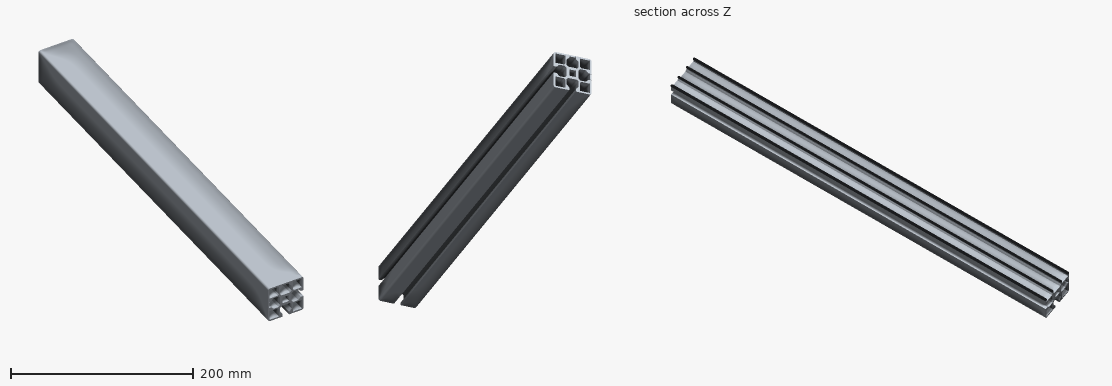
import cadquery as cq

length = 500.0
side = 45.0
edge_radius = 2.5

mouth_width = 8.0
lip_depth = 3.5
cavity_width = 14.5
cavity_corner = 2.0

strip_thickness = 2.0
web_thickness = 0.25
notch_width = 0.5

core_width = 14.5
bore_width = 8.0

outer_wall = 2.0
slot_wall = 1.5
chamber_chamfer = 1.5

half_side = side / 2
half_mouth = mouth_width / 2
half_cavity = cavity_width / 2
half_core = core_width / 2
half_strip = half_mouth - notch_width
chamber_inner = half_cavity + slot_wall
chamber_outer = half_side - outer_wall

shoulder_depth = lip_depth + half_cavity - half_mouth


def prism(points):
    """Extrude a closed outline, given as (y, z) points, along the whole bar."""
    return cq.Workplane("YZ").polyline(points).close().extrude(length / 2, both=True)


def square_prism(width):
    """Square bar of the full length, centred on the X axis."""
    return cq.Workplane("YZ").rect(width, width).extrude(length / 2, both=True)


def slot(is_open):
    """Slot on the +Z side, from its mouth or the underside of its strip down to the core."""
    if is_open:
        mouth = [(half_mouth, half_side)]
    else:
        mouth = [
            (half_strip, half_side - strip_thickness),
            (half_strip, half_side - web_thickness),
            (half_mouth, half_side - web_thickness),
        ]
    right_half = mouth + [
        (half_mouth, half_side - lip_depth),
        (half_cavity, half_side - shoulder_depth),
        (half_cavity, half_core + cavity_corner),
        (half_cavity - cavity_corner, half_core),
    ]
    left_half = [(-y, z) for y, z in reversed(right_half)]
    return prism(right_half + left_half)


def corner_chamber():
    """Chamber in the +Y +Z corner, chamfered at the corner nearest the core."""
    return prism([
        (chamber_inner + chamber_chamfer, chamber_inner),
        (chamber_outer, chamber_inner),
        (chamber_outer, chamber_outer),
        (chamber_inner, chamber_outer),
        (chamber_inner, chamber_inner + chamber_chamfer),
    ])


def turned(body, angle):
    """Turn a body about the bar's axis, from +Y towards +Z."""
    return body.rotate((0, 0, 0), (1, 0, 0), angle)


result = square_prism(side).edges("|X").fillet(edge_radius)
result = result.cut(square_prism(bore_width))

for angle, is_open in ((0, False), (90, False), (180, True), (270, True)):
    result = result.cut(turned(slot(is_open), angle))

for angle in (0, 90, 180, 270):
    result = result.cut(turned(corner_chamber(), angle))